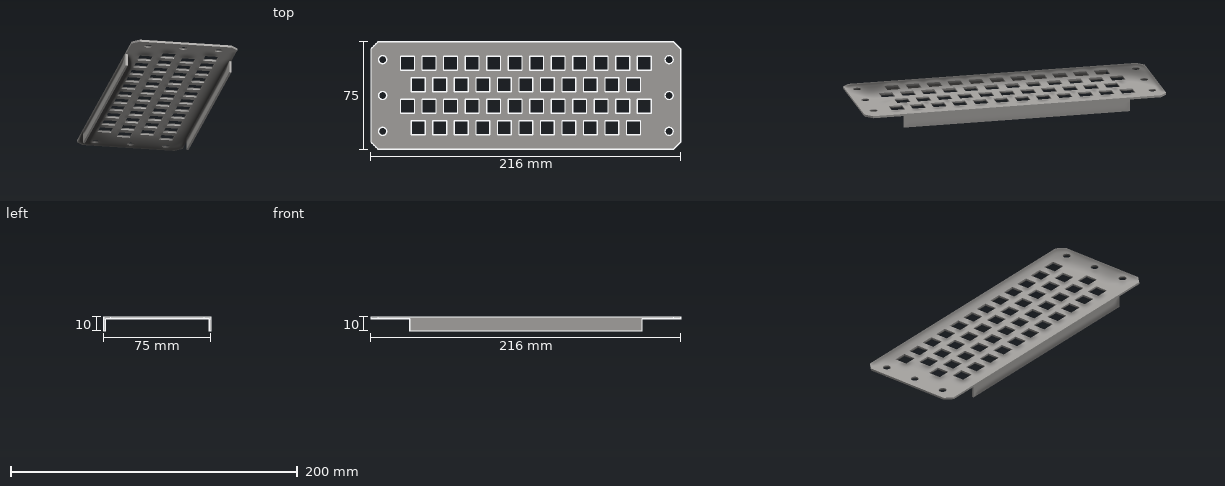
import cadquery as cq

PLATE_LENGTH = 216.0
PLATE_WIDTH = 75.0
SHEET_THICKNESS = 1.5
CORNER_CHAMFER = 5.0

FLANGE_LENGTH = 162.0
OVERALL_HEIGHT = 10.0

WINDOW_SIZE = 9.5
WINDOW_PITCH = 15.0
WINDOWS_PER_ROW = (12, 11, 12, 11)

HOLE_DIAMETER = 5.5
HOLE_COLUMNS = 2
HOLE_COLUMN_SPACING = 199.7
HOLE_PITCH = 25.0
HOLES_PER_COLUMN = 3


def make_plate():
    """Flat sheet with its four corners cut off."""
    plate = cq.Workplane("XY").box(PLATE_LENGTH, PLATE_WIDTH, SHEET_THICKNESS, centered=(True, True, False))
    plate = plate.translate((0, 0, -SHEET_THICKNESS))
    return plate.edges("|Z").chamfer(CORNER_CHAMFER)


def make_flange(side):
    """Downward flange, flush with the long edge on the given side (+1 or -1) in Y."""
    center_y = side * (PLATE_WIDTH - SHEET_THICKNESS) / 2
    flange = cq.Workplane("XY").box(FLANGE_LENGTH, SHEET_THICKNESS, OVERALL_HEIGHT)
    return flange.translate((0, center_y, -OVERALL_HEIGHT / 2))


def window_centers():
    """Centres of the windows; every row is centred in X."""
    centers = []
    first_row_y = (len(WINDOWS_PER_ROW) - 1) * WINDOW_PITCH / 2
    for row, count in enumerate(WINDOWS_PER_ROW):
        first_x = -(count - 1) * WINDOW_PITCH / 2
        for column in range(count):
            centers.append((first_x + column * WINDOW_PITCH, first_row_y - row * WINDOW_PITCH))
    return centers


def cut_windows(part):
    cutters = (
        cq.Workplane("XY")
        .pushPoints(window_centers())
        .rect(WINDOW_SIZE, WINDOW_SIZE)
        .extrude(-SHEET_THICKNESS)
    )
    return part.cut(cutters)


def cut_mounting_holes(part):
    cutters = (
        cq.Workplane("XY")
        .rarray(HOLE_COLUMN_SPACING, HOLE_PITCH, HOLE_COLUMNS, HOLES_PER_COLUMN)
        .circle(HOLE_DIAMETER / 2)
        .extrude(-SHEET_THICKNESS)
    )
    return part.cut(cutters)


body = make_plate()
for flange_side in (1, -1):
    body = body.union(make_flange(flange_side))
body = cut_windows(body)
result = cut_mounting_holes(body)